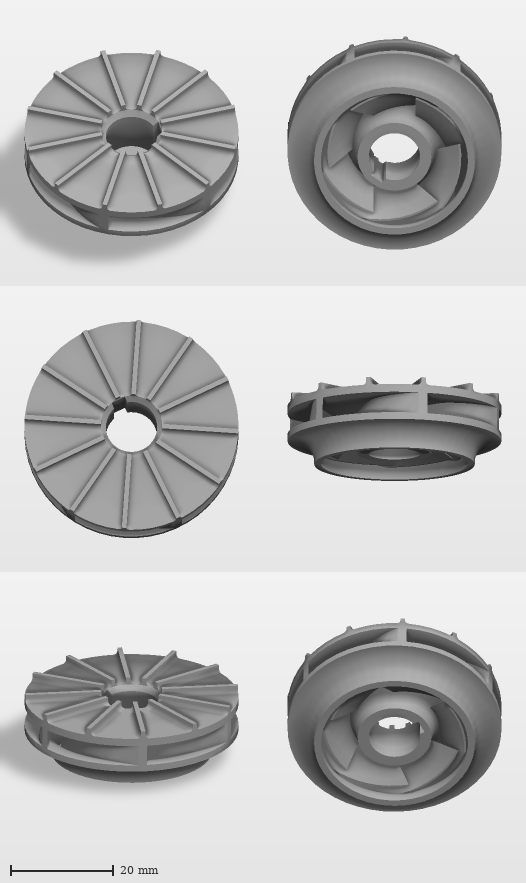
import cadquery as cq
import math

RIM_RADIUS = 20.9
TOTAL_HEIGHT = 13.07
RIM_STOCK = RIM_RADIUS + 1.0

RIB_HEIGHT = 1.5
PLATE_THICKNESS = 1.55
PLATE_TOP = TOTAL_HEIGHT - RIB_HEIGHT
PLATE_BOTTOM = PLATE_TOP - PLATE_THICKNESS

HUB_RADIUS = 7.2
HUB_FLARE_RADIUS = 8.0
HUB_BOTTOM = PLATE_BOTTOM - HUB_FLARE_RADIUS

BORE_RADIUS = 5.0
BORE_CHAMFER = 1.0
KEYWAY_WIDTH = 2.85
KEYWAY_REACH = 5.85

SHROUD_THICKNESS = 1.35
SHROUD_RIM_BOTTOM = 4.6
SHROUD_RIM_TOP = SHROUD_RIM_BOTTOM + SHROUD_THICKNESS
NECK_RADIUS = 15.7
EYE_RADIUS = NECK_RADIUS - SHROUD_THICKNESS
FLARE_MID_RADIUS = 16.9
FLARE_MID_HEIGHT = 3.4

RIB_COUNT = 12
RIB_WIDTH = 0.9
RIB_FILLET = 0.8
RIB_INNER_RADIUS = BORE_RADIUS + BORE_CHAMFER
RIB_START = RIB_INNER_RADIUS - 0.7

BLADE_COUNT = 6
BLADE_LOW_THICKNESS = 0.4
BLADE_HIGH_THICKNESS = 0.6
BLADE_LOW_CENTRE = (4.0, -3.3)
BLADE_HIGH_CENTRE = (4.4, -9.4)
BLADE_TIP_HALF_WIDTH = 0.9
BLADE_TIP_ANGLE = 262.0
BLADE_INLET_ANGLE = 135.0
BLADE_ROOT = 2.5


def polar_copies(feature, count):
    """Equally spaced copies of a feature about the Z axis."""
    return [feature.rotate((0, 0, 0), (0, 0, 1), index * 360 / count) for index in range(count)]


def make_back_plate():
    """Back plate with the flared hub beneath it, without the bore."""
    flare_outer = HUB_RADIUS + HUB_FLARE_RADIUS
    diagonal = HUB_FLARE_RADIUS * math.sqrt(0.5)
    return (
        cq.Workplane("XZ")
        .moveTo(0, HUB_BOTTOM)
        .lineTo(HUB_RADIUS, HUB_BOTTOM)
        .threePointArc(
            (flare_outer - diagonal, HUB_BOTTOM + diagonal),
            (flare_outer, PLATE_BOTTOM),
        )
        .lineTo(RIM_STOCK, PLATE_BOTTOM)
        .lineTo(RIM_STOCK, PLATE_TOP)
        .lineTo(0, PLATE_TOP)
        .close()
        .revolve(360, (0, 0), (0, 1))
    )


def make_shroud():
    """Flared shroud around the inlet eye."""
    inset = SHROUD_THICKNESS * math.sqrt(0.5)
    return (
        cq.Workplane("XZ")
        .moveTo(EYE_RADIUS, 0)
        .lineTo(NECK_RADIUS, 0)
        .threePointArc((FLARE_MID_RADIUS, FLARE_MID_HEIGHT), (RIM_RADIUS, SHROUD_RIM_BOTTOM))
        .lineTo(RIM_STOCK, SHROUD_RIM_BOTTOM)
        .lineTo(RIM_STOCK, SHROUD_RIM_TOP)
        .lineTo(RIM_RADIUS, SHROUD_RIM_TOP)
        .threePointArc((FLARE_MID_RADIUS - inset, FLARE_MID_HEIGHT + inset), (EYE_RADIUS, 0))
        .close()
        .revolve(360, (0, 0), (0, 1))
    )


def arc_point(centre, radius, degrees):
    """Point on a circle at an angle counted from +X."""
    angle = math.radians(degrees)
    return (centre[0] + radius * math.cos(angle), centre[1] + radius * math.sin(angle))


def blade_outline(plane, centre, thickness):
    """Draw one blade section as a band between two concentric arcs."""
    tip_depth = math.sqrt(RIM_RADIUS**2 - BLADE_TIP_HALF_WIDTH**2)
    outer = math.hypot(centre[0] + BLADE_TIP_HALF_WIDTH, centre[1] + tip_depth)
    inner = outer - thickness
    middle_angle = (BLADE_TIP_ANGLE + BLADE_INLET_ANGLE) / 2
    return (
        plane.moveTo(*arc_point(centre, outer, BLADE_TIP_ANGLE))
        .threePointArc(
            arc_point(centre, outer, middle_angle),
            arc_point(centre, outer, BLADE_INLET_ANGLE),
        )
        .lineTo(*arc_point(centre, inner, BLADE_INLET_ANGLE))
        .threePointArc(
            arc_point(centre, inner, middle_angle),
            arc_point(centre, inner, BLADE_TIP_ANGLE),
        )
        .close()
    )


def make_blades():
    """Blades that stop at the back plate and in the middle of the shroud wall."""
    low_plane = cq.Workplane("XY").workplane(offset=BLADE_ROOT)
    low_section = blade_outline(low_plane, BLADE_LOW_CENTRE, BLADE_LOW_THICKNESS)
    high_plane = low_section.workplane(offset=PLATE_BOTTOM - BLADE_ROOT, origin=(0, 0, BLADE_ROOT))
    high_section = blade_outline(high_plane, BLADE_HIGH_CENTRE, BLADE_HIGH_THICKNESS)
    raw_blade = high_section.loft(ruled=True)

    wall_middle = SHROUD_THICKNESS / 2
    inset = wall_middle * math.sqrt(0.5)
    passage = (
        cq.Workplane("XZ")
        .lineTo(NECK_RADIUS - wall_middle, 0)
        .threePointArc(
            (FLARE_MID_RADIUS - inset, FLARE_MID_HEIGHT + inset),
            (RIM_RADIUS, SHROUD_RIM_BOTTOM + wall_middle),
        )
        .lineTo(RIM_STOCK, SHROUD_RIM_BOTTOM + wall_middle)
        .lineTo(RIM_STOCK, PLATE_BOTTOM)
        .lineTo(0, PLATE_BOTTOM)
        .close()
        .revolve(360, (0, 0), (0, 1))
    )
    return polar_copies(raw_blade.intersect(passage), BLADE_COUNT)


def make_ribs():
    """Radial ribs with concave fillets running out onto the back plate."""
    half_width = RIB_WIDTH / 2
    foot = half_width + RIB_FILLET
    fillet_top = PLATE_TOP + RIB_FILLET
    fillet_mid_offset = RIB_FILLET * (1 - math.sqrt(0.5))
    mid_x = half_width + fillet_mid_offset
    mid_z = PLATE_TOP + fillet_mid_offset
    rib_root = PLATE_TOP - PLATE_THICKNESS / 2
    rib = (
        cq.Workplane("XZ", origin=(0, -RIB_START, 0))
        .moveTo(-foot, rib_root)
        .lineTo(-foot, PLATE_TOP)
        .threePointArc((-mid_x, mid_z), (-half_width, fillet_top))
        .lineTo(-half_width, TOTAL_HEIGHT)
        .lineTo(half_width, TOTAL_HEIGHT)
        .lineTo(half_width, fillet_top)
        .threePointArc((mid_x, mid_z), (foot, PLATE_TOP))
        .lineTo(foot, rib_root)
        .close()
        .extrude(RIM_STOCK - RIB_START)
    )
    return polar_copies(rib, RIB_COUNT)


def cut_bore(body):
    """Through bore with a chamfer at the back plate, clear of the ribs, and a keyway towards +Y."""
    bore = (
        cq.Workplane("XZ")
        .lineTo(BORE_RADIUS, 0)
        .lineTo(BORE_RADIUS, PLATE_TOP - BORE_CHAMFER)
        .lineTo(RIB_INNER_RADIUS, PLATE_TOP)
        .lineTo(RIB_INNER_RADIUS, TOTAL_HEIGHT)
        .lineTo(0, TOTAL_HEIGHT)
        .close()
        .revolve(360, (0, 0), (0, 1))
    )
    keyway = (
        cq.Workplane("XY")
        .center(0, KEYWAY_REACH / 2)
        .rect(KEYWAY_WIDTH, KEYWAY_REACH)
        .extrude(TOTAL_HEIGHT)
    )
    return body.cut(bore).cut(keyway)


body = make_back_plate().union(make_shroud())
for feature in make_blades() + make_ribs():
    body = body.union(feature)
body = cut_bore(body)

envelope = cq.Workplane("XY").circle(RIM_RADIUS).extrude(TOTAL_HEIGHT)
result = body.intersect(envelope)